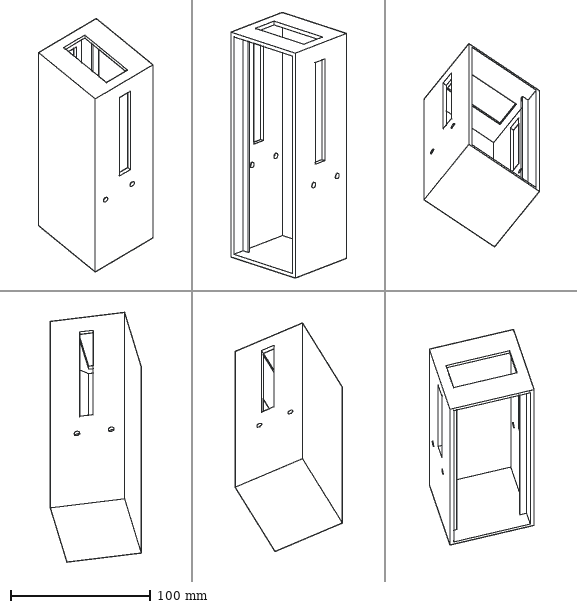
import cadquery as cq

width = 63.0
depth = 54.5
height = 173.0
wall = 3.0

window_width = 47.4
window_depth = 19.9
window_y = -0.2

rail_reach = 5.0
rail_tip = 1.5
rail_back_y = 17.5

slot_width = 10.0
slot_height = 78.2
slot_top_margin = 13.1
slot_y = 0.9

hole_diameter = 4.0
hole_spacing = 25.0
hole_pair_y = -4.8
hole_z = 66.0


def through_sides(y, z, size_y, size_z):
    """Bar along X that cuts a matching opening in both side walls."""
    return cq.Workplane("XY").box(2 * width, size_y, size_z).translate((0, y, z))


outer = cq.Workplane("XY").box(width, depth, height, centered=(True, True, False))
cavity = (
    cq.Workplane("XY")
    .box(width - 2 * wall, depth, height - 2 * wall, centered=(True, True, False))
    .translate((0, wall, wall))
)
body = outer.cut(cavity)

wall_x = width / 2 - wall
tip_x = wall_x - rail_reach
tip_front_y = rail_back_y - rail_tip
rail = (
    cq.Workplane("XY", origin=(0, 0, wall))
    .moveTo(wall_x, rail_back_y)
    .lineTo(tip_x, rail_back_y)
    .lineTo(tip_x, tip_front_y)
    .lineTo(wall_x, tip_front_y - rail_reach)
    .close()
    .extrude(height - 2 * wall)
)
body = body.union(rail).union(rail.mirror("YZ"))

window = (
    cq.Workplane("XY", origin=(0, window_y, height))
    .rect(window_width, window_depth)
    .extrude(-2 * wall)
)
body = body.cut(window)

slot_z = height - slot_top_margin - slot_height / 2
body = body.cut(through_sides(slot_y, slot_z, slot_width, slot_height))

holes = (
    cq.Workplane("YZ", origin=(-width, hole_pair_y, hole_z))
    .pushPoints([(-hole_spacing / 2, 0), (hole_spacing / 2, 0)])
    .circle(hole_diameter / 2)
    .extrude(2 * width)
)
result = body.cut(holes)